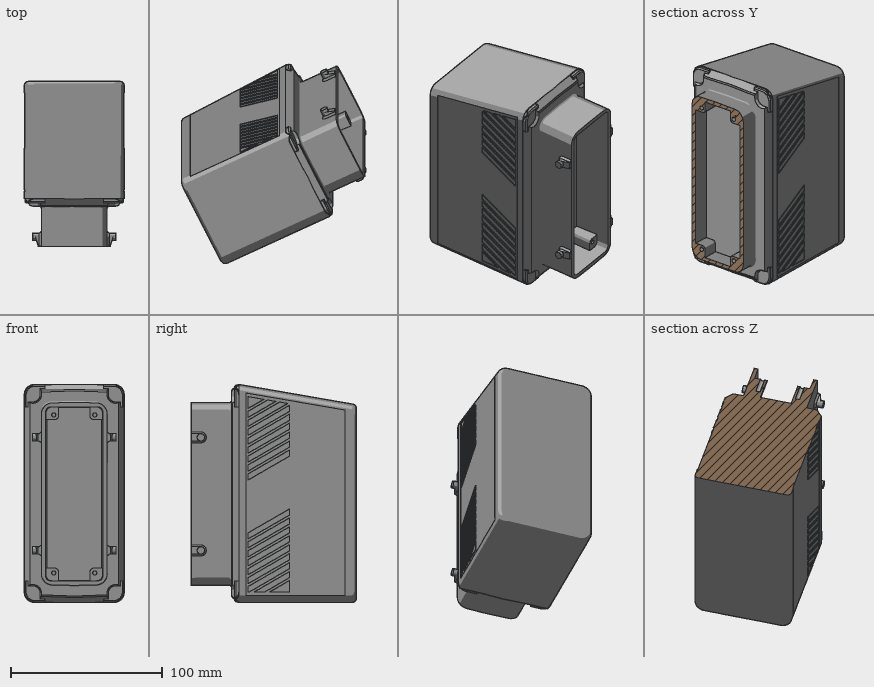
import cadquery as cq
import math

BODY_WIDTH = 66.0
BODY_FRONT = 5.0
BODY_BACK = 82.4
BODY_BOTTOM = -71.6
BODY_TOP = 72.2
TOP_SLOPE = 9.8
BODY_CORNER_RADIUS = 7.0
BACK_EDGE_RADIUS = 2.9

RECESS_FRONT = 9.6
RECESS_BACK = 74.9
RECESS_DEPTH = 0.36
STRIPE_FRONT = 11.0
STRIPE_BACK = 38.2
STRIPE_SLOPE = 30
STRIPE_PITCH = 5.9
STRIPE_HEIGHT = 4.0
STRIPE_COUNT = 9
UPPER_STRIPES_START = 24.9
LOWER_STRIPES_START = -9.9

RIM_START_INSET = 0.3
RIM_SHOULDER_Y = 0.6
RIM_SHOULDER_INSET = 3.9
RIM_FACE_INSET_X = 5.8
RIM_FACE_INSET_Z = 4.9
RIM_CROWN = 0.6
RIM_RIDGE_HALF_WIDTH = 15.7

PAD_FACE_Y = 2.2
PAD_EDGE_INSET = 0.5
PAD_CHAMFER = 0.9
PAD_INNER_X = 22.4
PAD_INNER_Z = 60.5
PAD_INNER_RADIUS = 5.0
PAD_WALL_INSET = 0.9
TONGUE_WIDTH = 2.9
TONGUE_LENGTH = 3.3
TONGUE_END_RADIUS = 0.9

SHELL_LENGTH = 26.6
SHELL_WIDTH = 43.4
SHELL_HEIGHT = 119.6
SHELL_CROWN = 0.5
SHELL_CORNER_RADIUS = 7.5
SHELL_ROOT_RADIUS = 1.3
CAVITY_FLOOR_Y = -1.5
CAVITY_WIDTH = 38.0
CAVITY_HEIGHT = 114.7
CAVITY_CORNER_RADIUS = 3.7
CAVITY_DRAFT_X = 1.0
CAVITY_DRAFT_Z = 0.5

PILLAR_FRONT_Y = -17.8
PILLAR_INNER_X = 10.4
PILLAR_INNER_Z = 48.9
PILLAR_RADIUS = 2.6
SCREW_X = 13.5
SCREW_Z = 52.0
SCREW_DIAMETER = 2.7
SCREW_DEPTH = 11.5

PEG_Z = 37.2
PEG_CENTER_Y = -20.1
PEG_RADIUS = 2.5
PEG_REACH = 27.5
PEG_BASE_RADIUS = 3.6
PEG_BASE_REACH = 23.1
RAMP_REACH = 25.6
RAMP_MOUTH_REACH = 23.7
RAMP_SETBACK = 0.1

BODY_HALF_WIDTH = BODY_WIDTH / 2
BODY_HEIGHT = BODY_TOP - BODY_BOTTOM
BODY_CENTER_Z = (BODY_TOP + BODY_BOTTOM) / 2
MOUTH_Y = -SHELL_LENGTH
SIDES = (-1, 1)


def front_plane(y, center_z=0):
    """Plane facing -Y; positive extrusion runs toward -Y."""
    return cq.Workplane("XZ", origin=(0, y, center_z))


def box_between(low, high):
    size = [b - a for a, b in zip(low, high)]
    return cq.Workplane("XY").box(*size, centered=False).translate(low)


def mirror_to_corners(solid):
    """Repeat a feature of the +X +Z quarter in all four quarters."""
    pair = solid.union(solid.mirror("YZ"))
    return pair.union(pair.mirror("XY"))


def body_top_at(y):
    return BODY_TOP - (y - BODY_FRONT) * math.tan(math.radians(TOP_SLOPE))


def crowned_side(half_width, height, crown):
    """Three points of a side that rises to a slight ridge at its middle."""
    return [(-half_width, height), (0, height + crown), (half_width, height)]


def with_opposite(points):
    """Close an outline by turning its top side half a turn about the center."""
    return points + [(-x, -z) for x, z in points]


def make_body():
    profile = [
        (BODY_FRONT, BODY_BOTTOM),
        (BODY_BACK, BODY_BOTTOM),
        (BODY_BACK, body_top_at(BODY_BACK)),
        (BODY_FRONT, BODY_TOP),
    ]
    body = cq.Workplane("YZ").polyline(profile).close().extrude(BODY_HALF_WIDTH, both=True)
    long_edges = body.edges("not (|X or |Z)")
    body = long_edges.fillet(BODY_CORNER_RADIUS)
    return body.faces(">Y").edges().fillet(BACK_EDGE_RADIUS)


def make_stripe(start, height):
    """Slanted band through the stripe field; start is its lower edge at the back."""
    drop = (STRIPE_BACK - STRIPE_FRONT) * math.tan(math.radians(STRIPE_SLOPE))
    outline = [
        (STRIPE_BACK, start),
        (STRIPE_BACK, start + height),
        (STRIPE_FRONT, start + height - drop),
        (STRIPE_FRONT, start - drop),
    ]
    return cq.Workplane("YZ").polyline(outline).close().extrude(BODY_HALF_WIDTH, both=True)


def make_stripes():
    """Two groups of bands; the last band of each group fills the field's corner."""
    margin = BODY_CORNER_RADIUS
    field = [
        (STRIPE_FRONT, BODY_BOTTOM + margin),
        (STRIPE_BACK, BODY_BOTTOM + margin),
        (STRIPE_BACK, body_top_at(STRIPE_BACK) - margin),
        (STRIPE_FRONT, body_top_at(STRIPE_FRONT) - margin),
    ]
    stripes = cq.Workplane("XY")
    for index in range(STRIPE_COUNT):
        is_last = index == STRIPE_COUNT - 1
        height = STRIPE_HEIGHT + (STRIPE_PITCH if is_last else 0)
        shift = index * STRIPE_PITCH
        stripes = stripes.add(make_stripe(UPPER_STRIPES_START + shift, height))
        stripes = stripes.add(make_stripe(LOWER_STRIPES_START - shift - height, height))
    field_prism = cq.Workplane("YZ").polyline(field).close().extrude(BODY_HALF_WIDTH, both=True)
    return field_prism.intersect(stripes.combine())


def make_side_recesses():
    recesses = cq.Workplane("XY")
    for side in SIDES:
        inner = BODY_HALF_WIDTH - RECESS_DEPTH
        outer = BODY_HALF_WIDTH
        low = (min(side * inner, side * outer), RECESS_FRONT, BODY_BOTTOM)
        high = (max(side * inner, side * outer), RECESS_BACK, BODY_TOP)
        recesses = recesses.union(box_between(low, high))
    return recesses.cut(make_stripes())


def make_rim():
    sections = [
        (BODY_FRONT, RIM_START_INSET, RIM_START_INSET),
        (RIM_SHOULDER_Y, RIM_SHOULDER_INSET, RIM_SHOULDER_INSET),
        (0, RIM_FACE_INSET_X, RIM_FACE_INSET_Z),
    ]
    wires = []
    for y, inset_x, inset_z in sections:
        half_width = BODY_HALF_WIDTH - inset_x
        half_height = BODY_HEIGHT / 2 - inset_z
        ridge = crowned_side(RIM_RIDGE_HALF_WIDTH, half_height, RIM_CROWN)
        top = [(-half_width, half_height), *ridge, (half_width, half_height)]
        points = with_opposite(top)
        outline = front_plane(y, BODY_CENTER_Z).polyline(points).close()
        wires.append(outline.val())
    rim = cq.Workplane(cq.Solid.makeLoft(wires, True))
    body_outline = front_plane(BODY_FRONT, BODY_CENTER_Z).rect(BODY_WIDTH, BODY_HEIGHT)
    body_outline = body_outline.extrude(BODY_FRONT).edges("|Y").fillet(BODY_CORNER_RADIUS)
    return rim.intersect(body_outline)


def make_shell():
    points = with_opposite(crowned_side(SHELL_WIDTH / 2, SHELL_HEIGHT / 2, SHELL_CROWN))
    block = front_plane(BODY_FRONT).polyline(points).close().extrude(SHELL_LENGTH + BODY_FRONT)
    corner_edges = block.faces("<X or >X").edges("|Y")
    return corner_edges.fillet(SHELL_CORNER_RADIUS)


def make_cavity():
    """Drafted pocket, a little narrower at its floor than at the mouth."""
    mouth = cq.Sketch().rect(CAVITY_WIDTH, CAVITY_HEIGHT)
    mouth = mouth.vertices().fillet(CAVITY_CORNER_RADIUS)
    floor = cq.Sketch().rect(CAVITY_WIDTH - 2 * CAVITY_DRAFT_X, CAVITY_HEIGHT - 2 * CAVITY_DRAFT_Z)
    floor = floor.vertices().fillet(CAVITY_CORNER_RADIUS)
    to_mouth = cq.Location((0, 0, CAVITY_FLOOR_Y - MOUTH_Y))
    sections = front_plane(CAVITY_FLOOR_Y).placeSketch(floor, mouth.moved(to_mouth))
    return sections.loft()


def make_pillars():
    low = (PILLAR_INNER_X, PILLAR_FRONT_Y, PILLAR_INNER_Z)
    high = (CAVITY_WIDTH / 2, CAVITY_FLOOR_Y, CAVITY_HEIGHT / 2)
    pillar = box_between(low, high).edges("|Y and <X and <Z").fillet(PILLAR_RADIUS)
    return mirror_to_corners(pillar)


def make_screw_holes():
    places = [(x * SCREW_X, z * SCREW_Z) for x in SIDES for z in SIDES]
    holes = front_plane(PILLAR_FRONT_Y).pushPoints(places).circle(SCREW_DIAMETER / 2)
    return holes.extrude(-SCREW_DEPTH)


def pad_sketch():
    """Pad outline of the +X +Z corner, with its inner corner rounded."""
    width = BODY_HALF_WIDTH - PAD_INNER_X
    height = BODY_TOP - PAD_INNER_Z
    sketch = cq.Sketch().rect(width, height).vertices("<X and <Y").fillet(PAD_INNER_RADIUS)
    center = cq.Vector(PAD_INNER_X + width / 2, PAD_INNER_Z + height / 2)
    return sketch.reset().moved(cq.Location(center))


def make_pads():
    """Corner pads as one rounded plate trimmed to the four corners, with end tongues."""
    half_width = BODY_HALF_WIDTH - PAD_EDGE_INSET
    half_height = BODY_HEIGHT / 2 - PAD_EDGE_INSET
    depth = BODY_FRONT - PAD_FACE_Y
    plate = front_plane(BODY_FRONT, BODY_CENTER_Z).rect(2 * half_width, 2 * half_height).extrude(depth)
    plate = plate.edges("|Y").fillet(BODY_CORNER_RADIUS - PAD_EDGE_INSET)
    plate = plate.faces("<Y").edges().chamfer(PAD_CHAMFER)

    pad = front_plane(BODY_FRONT).placeSketch(pad_sketch()).extrude(depth)
    side_tongue = box_between(
        (BODY_HALF_WIDTH - TONGUE_WIDTH, PAD_FACE_Y, PAD_INNER_Z - TONGUE_LENGTH),
        (BODY_HALF_WIDTH, BODY_FRONT, BODY_TOP),
    )
    end_tongue = box_between(
        (PAD_INNER_X - TONGUE_LENGTH, PAD_FACE_Y, BODY_TOP - TONGUE_WIDTH),
        (BODY_HALF_WIDTH, BODY_FRONT, BODY_TOP),
    )
    for tongue in (side_tongue, end_tongue):
        pad = pad.union(tongue.edges("|Y and <X and <Z").fillet(TONGUE_END_RADIUS))
    return plate.intersect(mirror_to_corners(pad))


def make_pad_clearance():
    """Corner space in front of the pads, widening toward the sealing face."""
    slant = math.degrees(math.atan(PAD_WALL_INSET / PAD_FACE_Y))
    clearance = front_plane(PAD_FACE_Y).placeSketch(pad_sketch())
    return mirror_to_corners(clearance.extrude(PAD_FACE_Y, taper=-slant))


def make_peg():
    """Locking peg on the +X side, with its widened base and the ramp to the mouth."""
    wall_inside = CAVITY_WIDTH / 2
    wall_outside = SHELL_WIDTH / 2
    ramp_end = MOUTH_Y + RAMP_SETBACK
    peg = cq.Workplane("YZ", origin=(wall_inside, PEG_CENTER_Y, 0)).circle(PEG_RADIUS)
    peg = peg.extrude(PEG_REACH - wall_inside)

    base_height = PEG_BASE_REACH - wall_outside
    slant = math.degrees(math.atan((PEG_BASE_RADIUS - PEG_RADIUS) / base_height))
    half_length = PEG_CENTER_Y - ramp_end + PEG_BASE_RADIUS
    base = cq.Workplane("YZ", origin=(wall_outside, ramp_end, 0))
    base = base.slot2D(2 * half_length, 2 * PEG_BASE_RADIUS).extrude(base_height, taper=slant)
    base = base.intersect(
        box_between(
            (wall_outside, ramp_end, -PEG_BASE_RADIUS),
            (PEG_BASE_REACH, ramp_end + half_length, PEG_BASE_RADIUS),
        )
    )

    ramp_outline = [
        (wall_outside, PEG_CENTER_Y),
        (RAMP_REACH, PEG_CENTER_Y),
        (RAMP_MOUTH_REACH, ramp_end),
        (wall_outside, ramp_end),
    ]
    ramp = cq.Workplane("XY").polyline(ramp_outline).close().extrude(PEG_RADIUS, both=True)
    return peg.union(base).union(ramp).cut(make_cavity())


def make_pegs():
    return mirror_to_corners(make_peg().translate((0, 0, PEG_Z)))


def make_front():
    """Rim and shell joined by a root fillet, with the corners cleared for the pads."""
    front = make_rim().union(make_shell())
    reach_x = SHELL_WIDTH / 2 + SHELL_ROOT_RADIUS
    reach_z = SHELL_HEIGHT / 2 + SHELL_ROOT_RADIUS
    root_zone = cq.selectors.BoxSelector(
        (-reach_x, -SHELL_ROOT_RADIUS, -reach_z),
        (reach_x, SHELL_ROOT_RADIUS, reach_z),
    )
    front = front.edges(root_zone).fillet(SHELL_ROOT_RADIUS)
    return front.cut(make_pad_clearance())


hood = make_front().union(make_body().cut(make_side_recesses()))
hood = hood.union(make_pads())
hood = hood.cut(make_cavity())
hood = hood.union(make_pillars()).cut(make_screw_holes())
result = hood.union(make_pegs())